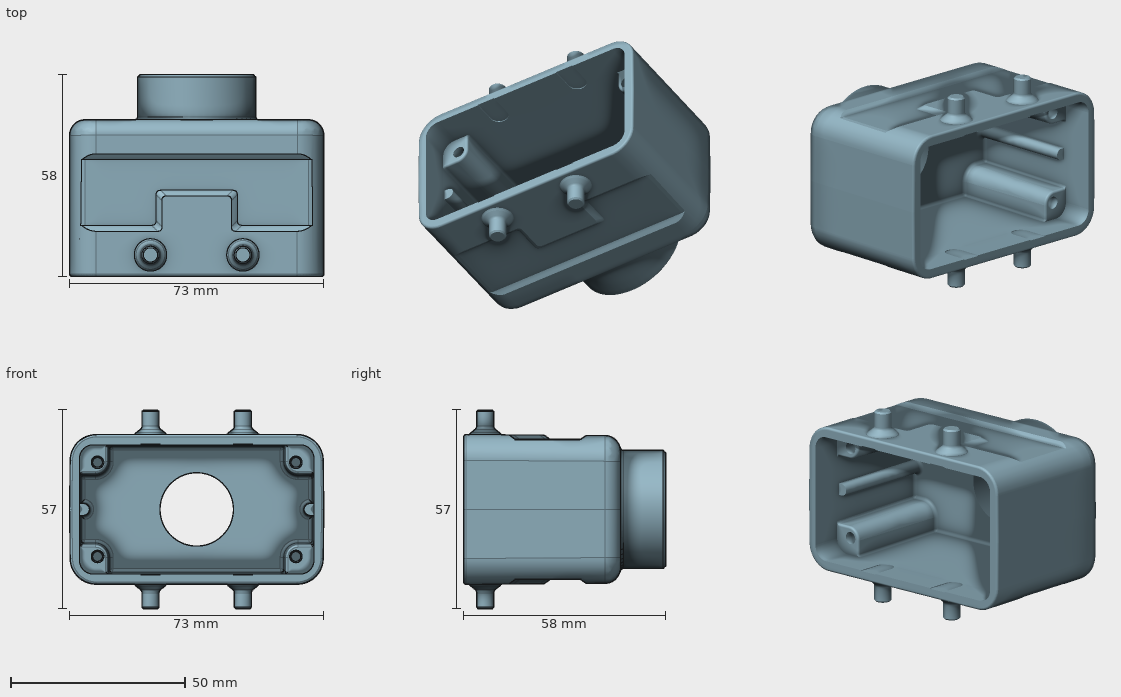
import cadquery as cq
import math


hood_width = 73.0
hood_length = 45.0
half_width = hood_width / 2
half_height_mouth = 21.5
half_height_rear = 21.2
side_draft_step = 0.25
long_edge_radius = 7.5
rear_edge_radius = 4.5
mouth_edge_radius = 0.7

collar_radius = 17.0
collar_end = 58.0
collar_edge_chamfer = 0.8
collar_root_radius = 0.8
collar_root_sink = 0.6
cable_hole_diameter = 21.0

cavity_half_width = 33.65
cavity_half_height = 18.55
cavity_corner_radius = 4.0
cavity_depth = 42.0
draft_angle = 1.0
floor_fillet = 1.0
foot_tolerance = 0.1

column_start = 9.3
column_inner_x = 25.5
column_inner_z = 10.15
column_corner_radius = 3.6
column_edge_radius = 0.7
column_side_radius = 0.7
screw_x = 28.45
screw_z = 13.5
screw_mouth_radius = 1.8
screw_bottom_radius = 1.4
screw_depth = 15.0

rib_start = 10.0
rib_radius = 1.7
rib_centre_x = 32.5
rib_draft_angle = 0.4

pin_x = 13.25
pin_y = 6.2
pin_top = 28.5
pin_radius = 2.5
pin_chamfer = 0.45
pin_root_radius = 4.65
pin_cone_top = 23.4
pin_cone_bend = 0.6
pin_embed = 1.0

groove_radius = 2.75
groove_end = 9.6
groove_half_height = 18.77

recess_floor = 20.15
recess_front = 14.7
recess_rear = 33.6
recess_rear_top = 35.55
recess_ramp = 1.85
recess_run_out = 40.0
recess_end_x = 32.0
recess_end_drop = 0.25
recess_end_drop_length = 1.6
tab_half_width = 11.65
tab_rear = 24.75
tab_corner_radius = 2.2
tab_selection_margin = 1.0
edge_selection_inset = 0.1


def facing_rear(y):
    """Workplane normal to +Y at the given Y; local coordinates are (-X, Z)."""
    return cq.Workplane("XZ", origin=(0, y, 0)).transformed(rotate=(0, 180, 0))


def hood_shell():
    lean_x = half_width - side_draft_step
    cross_section = [
        (half_width, 0),
        (lean_x, half_height_mouth),
        (-lean_x, half_height_mouth),
        (-half_width, 0),
        (-lean_x, -half_height_mouth),
        (lean_x, -half_height_mouth),
    ]
    side_profile = [
        (0, half_height_mouth),
        (hood_length, half_height_rear),
        (hood_length, -half_height_rear),
        (0, -half_height_mouth),
    ]
    across = facing_rear(0).polyline(cross_section).close().extrude(hood_length)
    along = cq.Workplane("YZ").polyline(side_profile).close().extrude(half_width, both=True)
    shell = across.intersect(along)
    for side_x in (-1, 1):
        for side_z in (-1, 1):
            corner = (side_x * half_width, hood_length / 2, side_z * half_height_mouth)
            shell = shell.edges(cq.selectors.NearestToPointSelector(corner)).fillet(long_edge_radius)
    shell = shell.faces(">Y").edges().fillet(rear_edge_radius)
    return shell.faces("<Y").edges().fillet(mouth_edge_radius)


def collar():
    tube = facing_rear(cavity_depth).circle(collar_radius).extrude(collar_end - cavity_depth)
    tube = tube.faces(">Y").edges().chamfer(collar_edge_chamfer)
    ring_radius = collar_radius + collar_root_radius
    ring_top = hood_length + collar_root_radius
    ring_bottom = hood_length - collar_root_sink
    bend = collar_root_radius * (1 - math.sqrt(0.5))
    ring = (
        cq.Workplane("XY")
        .moveTo(0, ring_bottom)
        .lineTo(ring_radius, ring_bottom)
        .lineTo(ring_radius, hood_length)
        .threePointArc((collar_radius + bend, hood_length + bend), (collar_radius, ring_top))
        .lineTo(0, ring_top)
        .close()
        .revolve(360, (0, 0), (0, 1))
    )
    return tube.union(ring)


def corner_column(side_x, side_z):
    size_x = half_width - column_inner_x
    size_z = half_height_mouth - column_inner_z
    column = (
        facing_rear(column_start)
        .center(-side_x * (half_width - size_x / 2), side_z * (half_height_mouth - size_z / 2))
        .sketch()
        .rect(size_x, size_z)
        .vertices()
        .fillet(column_corner_radius)
        .finalize()
        .extrude(cavity_depth - column_start, taper=-draft_angle)
    )
    return column.faces("<Y").edges().fillet(column_edge_radius)


def guide_rib(side_x):
    length = 2 * (half_width - rib_centre_x + rib_radius)
    rib = facing_rear(rib_start).center(-side_x * half_width, 0).slot2D(length, 2 * rib_radius)
    return rib.extrude(cavity_depth - rib_start, taper=-rib_draft_angle)


def with_flared_foot(post):
    """Stand a post on a slab behind the cavity floor and round the corner between them."""
    slab_size = 2 * hood_width
    slab = facing_rear(cavity_depth).rect(slab_size, slab_size).extrude(hood_length - cavity_depth)
    reach = hood_width - foot_tolerance
    foot = cq.selectors.BoxSelector(
        (-reach, cavity_depth - foot_tolerance, -reach), (reach, cavity_depth + foot_tolerance, reach)
    )
    return slab.union(post).edges(foot).fillet(floor_fillet)


def cavity_block(start, end, taper):
    return (
        facing_rear(start)
        .sketch()
        .rect(2 * cavity_half_width, 2 * cavity_half_height)
        .vertices()
        .fillet(cavity_corner_radius)
        .finalize()
        .extrude(end - start, taper=taper)
    )


def cavity():
    mouth = cavity_block(0, column_start, 0)
    space = cavity_block(column_start, cavity_depth, draft_angle)
    space = space.faces(">Y").edges().fillet(floor_fillet)
    for side_x in (-1, 1):
        space = space.cut(with_flared_foot(guide_rib(side_x)))
        for side_z in (-1, 1):
            space = space.cut(with_flared_foot(corner_column(side_x, side_z)))
    mid_depth = (column_start + cavity_depth) / 2
    for side_x in (-1, 1):
        for side_z in (-1, 1):
            for x, z in ((column_inner_x, cavity_half_height), (cavity_half_width, column_inner_z)):
                seam = cq.selectors.NearestToPointSelector((side_x * x, mid_depth, side_z * z))
                space = space.edges(seam).fillet(column_side_radius)
    return mouth.union(space)


def screw_hole(side_x, side_z):
    taper = math.degrees(math.atan((screw_mouth_radius - screw_bottom_radius) / screw_depth))
    mouth = facing_rear(column_start).center(-side_x * screw_x, side_z * screw_z)
    return mouth.circle(screw_mouth_radius).extrude(screw_depth, taper=taper)


def locking_pin(x):
    cone_run = pin_cone_bend * math.sqrt(0.5)
    cone_bottom = half_height_mouth - pin_embed
    cone_bottom_radius = pin_radius + pin_cone_top - half_height_mouth
    root_lift = pin_root_radius - cone_bottom_radius
    return (
        cq.Workplane("XZ")
        .moveTo(0, cone_bottom)
        .lineTo(pin_root_radius, cone_bottom)
        .lineTo(pin_root_radius, half_height_mouth)
        .lineTo(cone_bottom_radius - root_lift, half_height_mouth + 2 * root_lift)
        .lineTo(pin_radius + cone_run, pin_cone_top - cone_run)
        .tangentArcPoint((pin_radius, pin_cone_top + pin_cone_bend), relative=False)
        .lineTo(pin_radius, pin_top - pin_chamfer)
        .lineTo(pin_radius - pin_chamfer, pin_top)
        .lineTo(0, pin_top)
        .close()
        .revolve(360, (0, 0), (0, 1))
        .translate((x, pin_y, 0))
    )


def pin_groove(x):
    arc_centre = groove_end - groove_radius
    return (
        cq.Workplane("XY")
        .moveTo(x - groove_radius, 0)
        .lineTo(x + groove_radius, 0)
        .lineTo(x + groove_radius, arc_centre)
        .threePointArc((x, groove_end), (x - groove_radius, arc_centre))
        .close()
        .extrude(groove_half_height, both=True)
    )


def lever_recess():
    depth = half_height_mouth - recess_floor
    ramp_profile = [
        (recess_front, recess_floor),
        (recess_rear, recess_floor),
        (recess_rear_top, half_height_mouth),
        (recess_front - recess_ramp, half_height_mouth),
    ]
    trough = cq.Workplane("YZ").polyline(ramp_profile).close().extrude(recess_run_out, both=True)
    tab_front = recess_front - 2 * recess_ramp
    tab = (
        cq.Workplane("XY", origin=(0, (tab_front + tab_rear) / 2, recess_floor))
        .rect(2 * tab_half_width, tab_rear - tab_front)
        .extrude(depth, taper=math.degrees(math.atan(recess_ramp / depth)))
    )
    trough = trough.cut(tab)
    zone_half_width = tab_half_width + tab_selection_margin
    corner_zone = cq.selectors.BoxSelector(
        (-zone_half_width, recess_front - recess_ramp, recess_floor + edge_selection_inset),
        (zone_half_width, tab_rear, half_height_mouth - edge_selection_inset),
    )
    trough = trough.edges(corner_zone).fillet(tab_corner_radius)
    drop_x = recess_end_x + recess_end_drop_length
    drop_z = recess_floor - recess_end_drop
    end_profile = [
        (recess_end_x, recess_floor),
        (drop_x, drop_z),
        (recess_run_out, drop_z),
        (recess_run_out, recess_floor),
    ]
    end_drop = facing_rear(recess_front).polyline(end_profile).close().extrude(recess_rear - recess_front)
    return trough.union(end_drop).union(end_drop.mirror("YZ"))


def on_both_walls(feature):
    return feature.union(feature.mirror("XY"))


result = hood_shell().union(collar())
result = result.cut(on_both_walls(lever_recess()))
result = result.cut(cavity())
result = result.cut(facing_rear(0).circle(cable_hole_diameter / 2).extrude(collar_end))
for side_x in (-1, 1):
    result = result.cut(pin_groove(side_x * pin_x))
    result = result.union(on_both_walls(locking_pin(side_x * pin_x)))
    for side_z in (-1, 1):
        result = result.cut(screw_hole(side_x, side_z))